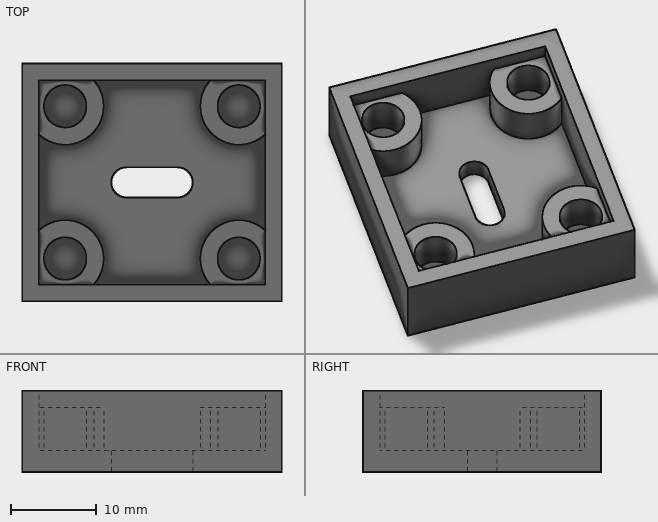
import cadquery as cq

length = 30.4
width = 27.85
height = 9.5
wall = 1.98
floor = 2.58

boss_diameter = 9.0
boss_height = 5.0
hole_diameter = 5.0
hole_spacing_x = 20.3
hole_spacing_y = 17.8

slot_length = 9.5
slot_width = 3.5


def floor_plane():
    """Work plane on the inside face of the floor."""
    return cq.Workplane("XY").workplane(offset=floor)


def boss_cylinders(diameter):
    """Four cylinders standing on the floor at the boss centres."""
    return (
        floor_plane()
        .rarray(hole_spacing_x, hole_spacing_y, 2, 2)
        .circle(diameter / 2)
        .extrude(boss_height)
    )


block = cq.Workplane("XY").box(length, width, height, centered=(True, True, False))
cavity = floor_plane().rect(length - 2 * wall, width - 2 * wall).extrude(height - floor)

bosses = boss_cylinders(boss_diameter).intersect(cavity)
holes = boss_cylinders(hole_diameter)
slot = cq.Workplane("XY").slot2D(slot_length, slot_width).extrude(floor)

result = block.cut(cavity).union(bosses).cut(holes).cut(slot)